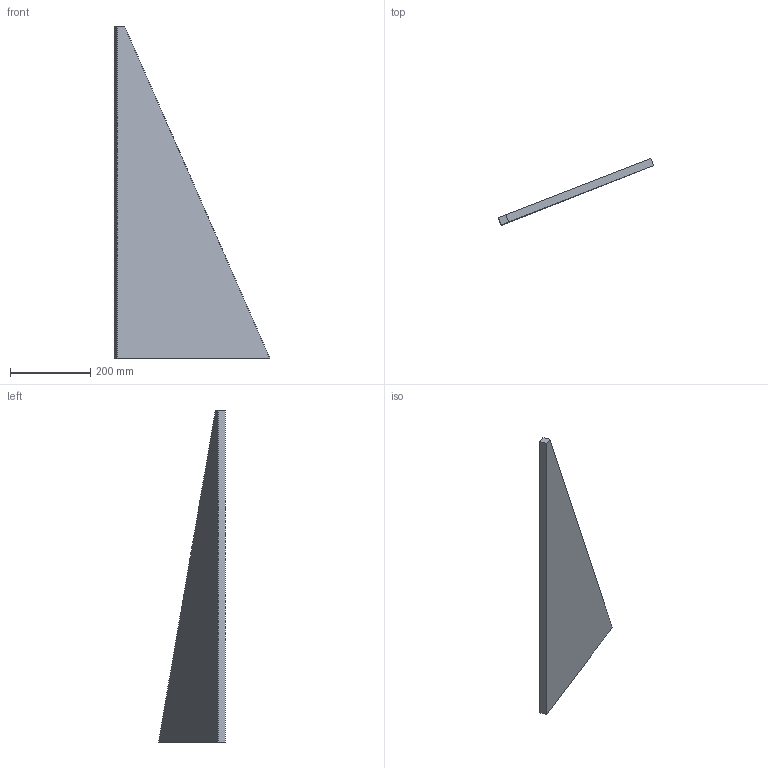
import cadquery as cq

height = 830.0
base_length = 410.0
top_length = 20.0
thickness = 19.0
turn_about_z = 21.403

outline = [
    (0, 0),
    (base_length, 0),
    (top_length, height),
    (0, height),
]

plate = cq.Workplane("XZ").polyline(outline).close().extrude(-thickness)

result = plate.rotate((0, 0, 0), (0, 0, 1), turn_about_z)